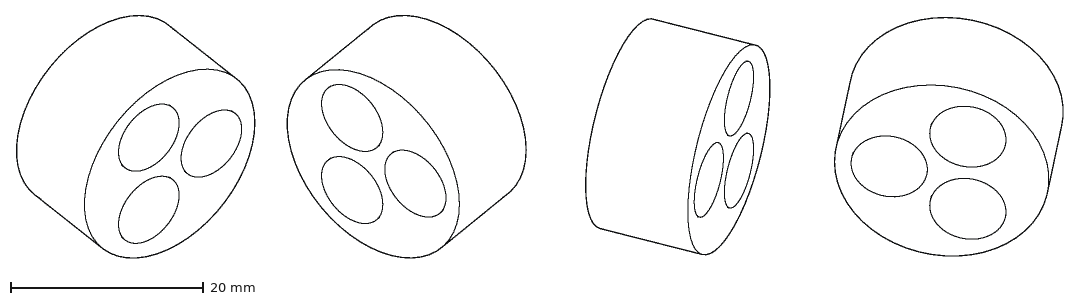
import cadquery as cq

length = 11.5
outer_diameter = 22.5
hole_diameter = 8.0
hole_count = 3
hole_circle_radius = 5.5


def make_body():
    """Plain cylinder along X, starting at X = 0."""
    return cq.Workplane("YZ").circle(outer_diameter / 2).extrude(length)


def cut_holes(body):
    """Equally spaced through holes, the first one on the +Y axis."""
    holes = (
        cq.Workplane("YZ")
        .polarArray(hole_circle_radius, 0, 360, hole_count)
        .circle(hole_diameter / 2)
        .extrude(length)
    )
    return body.cut(holes)


result = cut_holes(make_body())